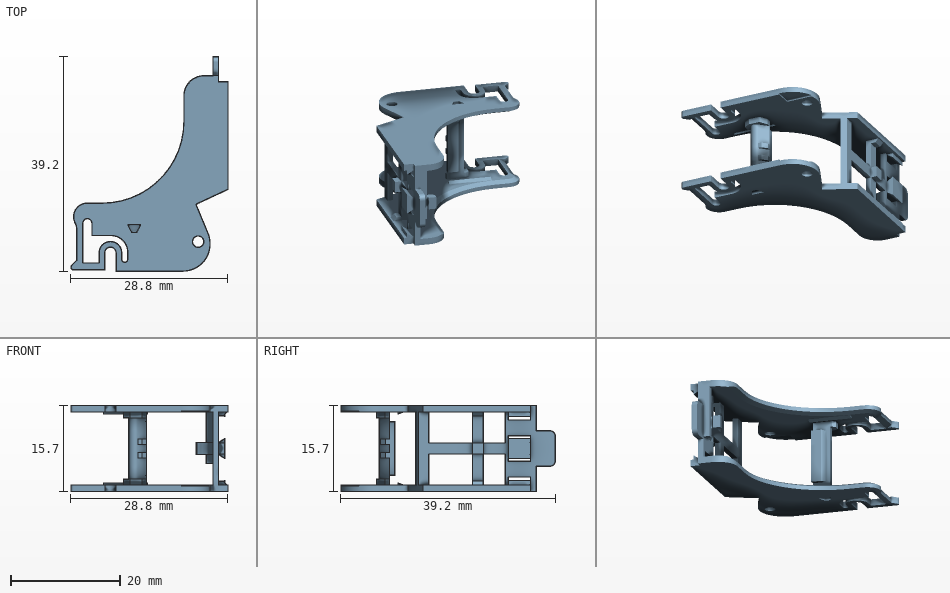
import cadquery as cq
import math

HEIGHT = 15.7
PLATE_THICKNESS = 1.2
PLATE_INNER_Z = HEIGHT / 2 - PLATE_THICKNESS
LENGTH_X = 28.75
LENGTH_Y = 39.2

FOOT_BOTTOM_Y = 0.25
ARM_LEFT_X = 1.0
ARM_TOP_Y = 12.45
NOSE_RADIUS = 2.5
NOSE_X, NOSE_Y = 2.98, ARM_TOP_Y - NOSE_RADIUS
NECK_RADIUS = 1.9
BACK_LEFT_X = 20.6
BACK_TOP_Y = 35.75
BACK_CORNER_RADIUS = 3.72
INNER_CURVE_RADIUS = 14.9
LOBE_X, LOBE_RADIUS = 20.42, 5.0
CROTCH_X, CROTCH_Y = 22.85, 12.25
BACK_RIGHT_BOTTOM_Y = 14.97
STEP_TOP_Y = 34.65
BEVEL_WIDTH, BEVEL_DEPTH = 0.98, 0.47

FOOT_TIP_RADIUS = 0.5
FOOT_BAR_TOP_Y = 1.53
PIN_SLOT_X, PIN_SLOT_Y, PIN_SLOT_WIDTH = 7.2, 3.37, 2.05
COLLAR_RADIUS = 2.08
COLLAR_GAP = 1.05
GAP_CORNER_RADIUS = 2.98
GAP_END_Y = 2.2
ARM_SLOT_LEFT_X, ARM_SLOT_WIDTH, ARM_SLOT_TOP_Y = 2.2, 1.6, 9.6

HOLE_X, HOLE_Y, HOLE_DIAMETER = 23.25, 5.4, 2.05
POCKET_LEFT_X, POCKET_TOP_Y, POCKET_DEPTH = 20.2, 3.3, 0.25
POCKET_FILLET = 0.2
RECESS_X, RECESS_TOP_Y, RECESS_BOTTOM_Y = 11.55, 8.5, 7.1
RECESS_TOP_WIDTH, RECESS_BOTTOM_WIDTH = 2.35, 0.95
RECESS_DEPTH, RECESS_FILLET = 0.47, 0.15
RIDGE_LEFT_X, RIDGE_RIGHT_X = 5.9, 13.95
RIDGE_FRONT_Y, RIDGE_WIDTH, RIDGE_HEIGHT = 10.43, 0.9, 0.35

WALL_THICKNESS = 1.05
WALL_OUTER_X = 26.95
WALL_INNER_X = WALL_OUTER_X - WALL_THICKNESS
TAB_HALF_WIDTH, TAB_CORNER_RADIUS = 3.25, 0.98
RIB_HALF_WIDTH = 1.0
WINDOWS_Y = [(16.07, 24.03), (26.03, 30.03)]
SLOT_BOTTOM_Y, SLOT_TOP_Y = 30.6, 34.65
CENTRE_SLOT_Z = (1.1, 2.3)
OUTER_SLOT_Z = (5.2, 6.6)

PRONG_X = 28.15
CENTRE_PRONG_TIP_Z = 1.85
SIDE_PRONG_TIP_Z = 5.85
GUSSET_ROOT_X = 28.45
GUSSET_TIP_X, GUSSET_TIP_Z = 27.87, 5.95

RAIL_X, RAIL_BOTTOM_Z = 24.7, -2.8
HOOK_HALF_WIDTH = 1.15
HOOK_TIP_X = 22.8
HOOK_TIP_BEVEL_X, HOOK_TIP_BEVEL_Y = 23.05, 34.1
HOOK_TIP_BOTTOM_Y = 34.38
HOOK_NECK_X = 23.87
BARB_TOP_X, BARB_ROOT_X = 24.2, 24.5
HOOK_BOTTOM_Y, HOOK_ARM_TOP_Y, HOOK_TOP_Y = 33.85, 34.9, 35.35

PIN_X, PIN_Y, PIN_RADIUS = 11.52, 7.95, 0.98
PIN_BACK_Y = 8.95
PIN_RIGHT_X = 13.85
FLANGE_THICKNESS = 1.05
FIN_LEFT_X, FIN_LEAN = 11.3, 0.47
FIN_BACK_Y, FIN_HALF_LENGTH, FIN_CHAMFER = 9.88, 4.9, 0.15
LUG_Z = (0.75, 1.72)
LUG_CORNER_X = 12.95
FLANGE_LEFT_X, FLANGE_FRONT_Y = 9.55, 6.5
FLANGE_LEFT_Y = (7.25, 8.5)
FLANGE_FRONT_LEFT_X, FLANGE_BACK_LEFT_X = 10.78, 10.2
FLANGE_RIGHT_Y = 8.05


def box(x, y, z):
    """Box from three (low, high) ranges."""
    return (
        cq.Workplane("XY")
        .box(x[1] - x[0], y[1] - y[0], z[1] - z[0], centered=False)
        .translate((x[0], y[0], z[0]))
    )


def prism_z(points, z_low, z_high):
    """Closed XY polygon extruded between two heights."""
    return cq.Workplane("XY").workplane(offset=z_low).polyline(points).close().extrude(z_high - z_low)


def prism_y(points, y_low, y_high):
    """Closed XZ polygon extruded between two Y positions."""
    return cq.Workplane("XZ", origin=(0, y_low, 0)).polyline(points).close().extrude(y_low - y_high)


def mirrored(body):
    """The body together with its mirror image below the mid plane."""
    return body.union(body.mirror("XY"))


def circle_point(x, y, radius, degrees):
    """Point on a circle at an angle from +X."""
    angle = math.radians(degrees)
    return (x + radius * math.cos(angle), y + radius * math.sin(angle))


def plate_blank():
    """Plate with its bevelled inner edge, before corners and openings are cut."""
    neck_x = ARM_LEFT_X - NECK_RADIUS
    centre_distance = NOSE_RADIUS + NECK_RADIUS
    neck_angle = math.degrees(math.acos((NOSE_X - neck_x) / centre_distance))
    neck_y = NOSE_Y - centre_distance * math.sin(math.radians(neck_angle))

    to_crotch = math.degrees(math.atan2(CROTCH_Y - LOBE_RADIUS, CROTCH_X - LOBE_X))
    crotch_distance = math.hypot(CROTCH_X - LOBE_X, CROTCH_Y - LOBE_RADIUS)
    lobe_angle = to_crotch - math.degrees(math.acos(LOBE_RADIUS / crotch_distance))

    curve_x = BACK_LEFT_X - INNER_CURVE_RADIUS
    curve_y = ARM_TOP_Y + INNER_CURVE_RADIUS
    blank = (
        cq.Workplane("XY")
        .workplane(offset=PLATE_INNER_Z)
        .moveTo(ARM_LEFT_X, FOOT_BOTTOM_Y)
        .lineTo(ARM_LEFT_X, neck_y)
        .threePointArc(
            circle_point(neck_x, neck_y, NECK_RADIUS, neck_angle / 2),
            circle_point(neck_x, neck_y, NECK_RADIUS, neck_angle),
        )
        .threePointArc(
            circle_point(NOSE_X, NOSE_Y, NOSE_RADIUS, 150),
            (NOSE_X, ARM_TOP_Y),
        )
        .lineTo(curve_x, ARM_TOP_Y)
        .threePointArc(
            circle_point(curve_x, curve_y, INNER_CURVE_RADIUS, -45),
            (BACK_LEFT_X, curve_y),
        )
        .lineTo(BACK_LEFT_X, BACK_TOP_Y)
        .lineTo(WALL_OUTER_X, BACK_TOP_Y)
        .lineTo(WALL_OUTER_X, STEP_TOP_Y)
        .lineTo(LENGTH_X, STEP_TOP_Y)
        .lineTo(LENGTH_X, BACK_RIGHT_BOTTOM_Y)
        .lineTo(CROTCH_X, CROTCH_Y)
        .lineTo(*circle_point(LOBE_X, LOBE_RADIUS, LOBE_RADIUS, lobe_angle))
        .threePointArc(
            circle_point(LOBE_X, LOBE_RADIUS, LOBE_RADIUS, -35),
            (LOBE_X, 0),
        )
        .lineTo(PIN_SLOT_X, 0)
        .lineTo(PIN_SLOT_X, FOOT_BOTTOM_Y)
        .close()
        .extrude(PLATE_THICKNESS)
    )
    bevel_path = cq.selectors.BoxSelector(
        (0, FOOT_BOTTOM_Y + 0.4, PLATE_INNER_Z - 0.4),
        (BACK_LEFT_X + 0.4, BACK_TOP_Y - 0.4, PLATE_INNER_Z + 0.4),
    )
    edges = blank.faces("<Z").edges(bevel_path).vals()
    return cq.Workplane(blank.val().chamfer(BEVEL_DEPTH, BEVEL_WIDTH, edges))


def plate_prism(points):
    """Polygon extruded through the plate thickness."""
    return prism_z(points, PLATE_INNER_Z, HEIGHT / 2)


def plate_disc(x, y, radius):
    """Disc through the plate thickness."""
    return (
        cq.Workplane("XY", origin=(x, y, PLATE_INNER_Z))
        .circle(radius)
        .extrude(PLATE_THICKNESS)
    )


def plate_box(x, y):
    """Rectangle through the plate thickness."""
    return box(x, y, (PLATE_INNER_Z, HEIGHT / 2))


def back_corner_waste():
    """Material outside the rounded top corner of the back."""
    x = BACK_LEFT_X + BACK_CORNER_RADIUS
    y = BACK_TOP_Y - BACK_CORNER_RADIUS
    corner = plate_box((BACK_LEFT_X, x), (y, BACK_TOP_Y))
    return corner.cut(plate_disc(x, y, BACK_CORNER_RADIUS))


def foot():
    """Snap foot with a rounded tip and a 45 degree upper flank."""
    tip_y = FOOT_BOTTOM_Y + FOOT_TIP_RADIUS
    flank_x, flank_y = circle_point(FOOT_TIP_RADIUS, tip_y, FOOT_TIP_RADIUS, 135)
    body = plate_prism(
        [
            (FOOT_TIP_RADIUS, FOOT_BOTTOM_Y),
            (PIN_SLOT_X, FOOT_BOTTOM_Y),
            (PIN_SLOT_X, FOOT_BAR_TOP_Y),
            (ARM_SLOT_LEFT_X, FOOT_BAR_TOP_Y),
            (ARM_LEFT_X, flank_y + ARM_LEFT_X - flank_x),
            (flank_x, flank_y),
            (FOOT_TIP_RADIUS, tip_y),
        ]
    )
    return body.union(plate_disc(FOOT_TIP_RADIUS, tip_y, FOOT_TIP_RADIUS))


def flexure_opening():
    """Opening that frees the spring arm and the ring around the pin slot."""
    slot_radius = ARM_SLOT_WIDTH / 2
    slot_x = ARM_SLOT_LEFT_X + slot_radius
    slot_end_y = ARM_SLOT_TOP_Y - slot_radius
    gap_reach = COLLAR_RADIUS + COLLAR_GAP
    gap_top_y = PIN_SLOT_Y + gap_reach
    gap_right_x = PIN_SLOT_X + gap_reach
    gap_radius = COLLAR_GAP / 2

    opening = plate_box((ARM_SLOT_LEFT_X, slot_x + slot_radius), (FOOT_BAR_TOP_Y, slot_end_y))
    opening = opening.union(plate_disc(slot_x, slot_end_y, slot_radius))
    opening = opening.union(plate_box((ARM_SLOT_LEFT_X, PIN_SLOT_X), (FOOT_BAR_TOP_Y, gap_top_y)))
    rounded_side = (
        plate_box((PIN_SLOT_X, gap_right_x), (GAP_END_Y, gap_top_y))
        .edges("|Z and >X and >Y")
        .fillet(GAP_CORNER_RADIUS)
    )
    opening = opening.union(rounded_side)

    collar = plate_disc(PIN_SLOT_X, PIN_SLOT_Y, COLLAR_RADIUS).union(
        plate_box((PIN_SLOT_X - COLLAR_RADIUS, PIN_SLOT_X + COLLAR_RADIUS), (0, PIN_SLOT_Y))
    )
    gap_end = plate_disc(gap_right_x - gap_radius, GAP_END_Y, gap_radius)
    return opening.cut(collar).union(gap_end)


def pin_slot():
    """Open-ended slot with a round top."""
    radius = PIN_SLOT_WIDTH / 2
    slot = plate_box((PIN_SLOT_X - radius, PIN_SLOT_X + radius), (0, PIN_SLOT_Y))
    return slot.union(plate_disc(PIN_SLOT_X, PIN_SLOT_Y, radius))


def lobe_pocket():
    """Shallow pocket on the inner face at the lower corner of the lobe."""
    pocket = box(
        (POCKET_LEFT_X, LENGTH_X),
        (0, POCKET_TOP_Y),
        (PLATE_INNER_Z, PLATE_INNER_Z + POCKET_DEPTH),
    )
    return pocket.edges(">Z and >Y").fillet(POCKET_FILLET)


def outer_recess():
    """Trapezoidal recess in the outer face with a filleted floor."""
    floor_z = HEIGHT / 2 - RECESS_DEPTH
    outline = [
        (RECESS_X - RECESS_TOP_WIDTH / 2, RECESS_TOP_Y),
        (RECESS_X + RECESS_TOP_WIDTH / 2, RECESS_TOP_Y),
        (RECESS_X + RECESS_BOTTOM_WIDTH / 2, RECESS_BOTTOM_Y),
        (RECESS_X - RECESS_BOTTOM_WIDTH / 2, RECESS_BOTTOM_Y),
    ]
    return prism_z(outline, floor_z, HEIGHT / 2).faces("<Z").edges().fillet(RECESS_FILLET)


def ridge():
    """Wedge-shaped ridge on the inner face, steep on its -Y side."""
    profile = [
        (RIDGE_FRONT_Y, PLATE_INNER_Z),
        (RIDGE_FRONT_Y, PLATE_INNER_Z - RIDGE_HEIGHT),
        (RIDGE_FRONT_Y + RIDGE_WIDTH, PLATE_INNER_Z),
    ]
    return (
        cq.Workplane("YZ", origin=(RIDGE_LEFT_X, 0, 0))
        .polyline(profile)
        .close()
        .extrude(RIDGE_RIGHT_X - RIDGE_LEFT_X)
    )


def side_plate():
    """Upper side plate."""
    plate = plate_blank().cut(back_corner_waste()).union(foot())
    plate = plate.cut(flexure_opening()).cut(pin_slot())
    plate = plate.cut(plate_disc(HOLE_X, HOLE_Y, HOLE_DIAMETER / 2))
    plate = plate.cut(lobe_pocket()).cut(outer_recess())
    return plate.union(ridge())


def back_wall():
    """Wall between the plates, ending at their slanted edge, with windows, slots and a tab."""
    x = (WALL_INNER_X, WALL_OUTER_X)
    slope = (BACK_RIGHT_BOTTOM_Y - CROTCH_Y) / (LENGTH_X - CROTCH_X)
    bottom_y = [CROTCH_Y + slope * (end_x - CROTCH_X) for end_x in x]
    wall_outline = [
        (WALL_INNER_X, bottom_y[0]),
        (WALL_OUTER_X, bottom_y[1]),
        (WALL_OUTER_X, BACK_TOP_Y),
        (WALL_INNER_X, BACK_TOP_Y),
    ]
    wall = prism_z(wall_outline, -PLATE_INNER_Z, PLATE_INNER_Z)
    tab = (
        box(x, (BACK_TOP_Y, LENGTH_Y), (-TAB_HALF_WIDTH, TAB_HALF_WIDTH))
        .faces(">Y")
        .edges("|X")
        .fillet(TAB_CORNER_RADIUS)
    )
    for window_y in WINDOWS_Y:
        wall = wall.cut(mirrored(box(x, window_y, (RIB_HALF_WIDTH, PLATE_INNER_Z))))
    for slot_z in (CENTRE_SLOT_Z, OUTER_SLOT_Z):
        wall = wall.cut(mirrored(box(x, (SLOT_BOTTOM_Y, SLOT_TOP_Y), slot_z)))
    return wall.union(tab)


def prongs():
    """Dovetail prong behind the wall centre and a slanted prong along each plate."""
    centre_profile = [
        (WALL_OUTER_X, -CENTRE_SLOT_Z[0]),
        (PRONG_X, -CENTRE_PRONG_TIP_Z),
        (PRONG_X, CENTRE_PRONG_TIP_Z),
        (WALL_OUTER_X, CENTRE_SLOT_Z[0]),
    ]
    side_profile = [
        (WALL_OUTER_X, PLATE_INNER_Z),
        (PRONG_X, PLATE_INNER_Z),
        (PRONG_X, SIDE_PRONG_TIP_Z),
        (WALL_OUTER_X, OUTER_SLOT_Z[1]),
    ]
    centre = prism_y(centre_profile, SLOT_BOTTOM_Y, SLOT_TOP_Y)
    return centre.union(mirrored(prism_y(side_profile, SLOT_BOTTOM_Y, SLOT_TOP_Y)))


def stiffeners():
    """Centre block and corner gussets behind the bar between the windows."""
    bar_y = (WINDOWS_Y[0][1], WINDOWS_Y[1][0])
    block = box((WALL_OUTER_X, PRONG_X), bar_y, (-RIB_HALF_WIDTH, RIB_HALF_WIDTH))
    gusset_profile = [
        (WALL_OUTER_X, PLATE_INNER_Z),
        (GUSSET_ROOT_X, PLATE_INNER_Z),
        (GUSSET_TIP_X, GUSSET_TIP_Z),
        (WALL_OUTER_X, GUSSET_TIP_Z),
    ]
    return block.union(mirrored(prism_y(gusset_profile, *bar_y)))


def latch():
    """Rail along the top of the wall and the hook that reaches out in front of it."""
    rail = box((RAIL_X, WALL_INNER_X), (SLOT_TOP_Y, BACK_TOP_Y), (RAIL_BOTTOM_Z, PLATE_INNER_Z))
    hook_outline = [
        (WALL_INNER_X, HOOK_BOTTOM_Y),
        (HOOK_NECK_X, HOOK_BOTTOM_Y),
        (HOOK_TIP_BEVEL_X, HOOK_TIP_BEVEL_Y),
        (HOOK_TIP_X, HOOK_TIP_BOTTOM_Y),
        (HOOK_TIP_X, HOOK_TOP_Y),
        (BARB_TOP_X, HOOK_TOP_Y),
        (BARB_ROOT_X, HOOK_ARM_TOP_Y),
        (WALL_INNER_X, HOOK_ARM_TOP_Y),
    ]
    return rail.union(prism_z(hook_outline, -HOOK_HALF_WIDTH, HOOK_HALF_WIDTH))


def hinge_pin():
    """Pin between the plates: round front, slanted flank, rear fin, lugs and end flanges."""
    left_x = PIN_X - PIN_RADIUS
    flank_x, flank_y = circle_point(PIN_X, PIN_Y, PIN_RADIUS, -45)
    flank_end_y = flank_y + PIN_RIGHT_X - flank_x
    pin = (
        cq.Workplane("XY")
        .workplane(offset=-PLATE_INNER_Z)
        .moveTo(left_x, PIN_Y)
        .threePointArc(circle_point(PIN_X, PIN_Y, PIN_RADIUS, -120), (flank_x, flank_y))
        .lineTo(PIN_RIGHT_X, flank_end_y)
        .lineTo(PIN_RIGHT_X, PIN_BACK_Y)
        .lineTo(left_x, PIN_BACK_Y)
        .close()
        .extrude(2 * PLATE_INNER_Z)
    )

    fin_top_x = FIN_LEFT_X + FIN_LEAN
    fin_outline = [
        (FIN_LEFT_X, PIN_BACK_Y),
        (fin_top_x, FIN_BACK_Y - FIN_CHAMFER),
        (fin_top_x + FIN_CHAMFER, FIN_BACK_Y),
        (PIN_RIGHT_X, FIN_BACK_Y),
        (PIN_RIGHT_X, PIN_BACK_Y),
    ]
    pin = pin.union(prism_z(fin_outline, -FIN_HALF_LENGTH, FIN_HALF_LENGTH))

    lug_outline = [
        (flank_x, flank_y),
        (LUG_CORNER_X, flank_y),
        (PIN_RIGHT_X, flank_y + PIN_RIGHT_X - LUG_CORNER_X),
        (PIN_RIGHT_X, flank_end_y),
    ]
    pin = pin.union(mirrored(prism_z(lug_outline, *LUG_Z)))

    flange_outline = [
        (FLANGE_LEFT_X, FLANGE_LEFT_Y[0]),
        (FLANGE_FRONT_LEFT_X, FLANGE_FRONT_Y),
        (LUG_CORNER_X, FLANGE_FRONT_Y),
        (PIN_RIGHT_X, FLANGE_RIGHT_Y),
        (PIN_RIGHT_X, PIN_BACK_Y),
        (FLANGE_BACK_LEFT_X, PIN_BACK_Y),
        (FLANGE_LEFT_X, FLANGE_LEFT_Y[1]),
    ]
    flange = prism_z(flange_outline, PLATE_INNER_Z - FLANGE_THICKNESS, PLATE_INNER_Z)
    return pin.union(mirrored(flange))


result = mirrored(side_plate())
for member in (back_wall(), prongs(), stiffeners(), latch(), hinge_pin()):
    result = result.union(member)